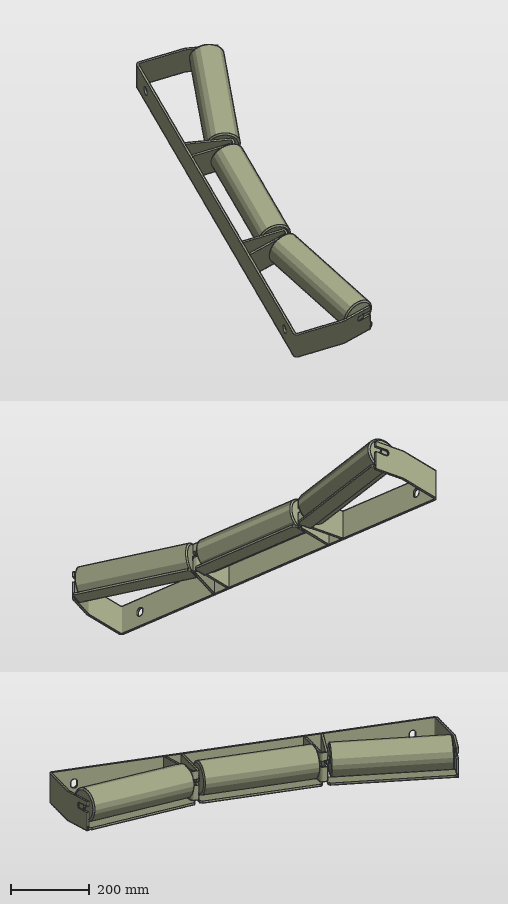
import cadquery as cq
import math


sheet = 6.0
height = 80.0
frame_length = 1050.0
frame_bend_radius = 10.0
bracket_bend_radius = 8.0
bracket_top_y = 125.0
tip_beyond_axis = 30.0

mount_x = 458.0
mount_z = 41.0
mount_width = 18.0
mount_height = 25.0

roller_diameter = 89.0
roller_length = 315.0
roller_chamfer_axial = 3.0
roller_chamfer_radial = 5.0
shaft_diameter = 20.0
shaft_flats = 16.0
plate_distance = 163.0
shaft_half = plate_distance + sheet / 2
tongue_start = plate_distance - 2.0
roller_radius = roller_diameter / 2
shaft_radius = shaft_diameter / 2

guard_top = 47.4
guard_thickness = 6.0
guard_width = 40.5
guard_corner = 6.0

middle_y = 98.0
middle_z = 48.4
wing_x = -347.6
wing_y = 144.2
wing_z = 53.46
wing_angle = 15.0
wing_tilt = 1.55

sine = math.sin(math.radians(wing_angle))
cosine = math.cos(math.radians(wing_angle))
slot_half = plate_distance + 4 * sheet
slot_reach = 100.0


def in_middle(body):
    return body.translate((0, middle_y, middle_z))


def in_wing(body):
    """Place a body, made along X at the origin, at the -X roller."""
    tilted = body.rotate((0, 0, 0), (0, 1, 0), wing_tilt)
    return tilted.rotate((0, 0, 0), (0, 0, 1), -wing_angle).translate((wing_x, wing_y, wing_z))


def mirrored(body):
    return body.mirror("YZ")


def wing_point(along, across):
    """Plan position given along and across the -X roller axis."""
    return (wing_x + along * cosine + across * sine, wing_y - along * sine + across * cosine)


def wing_at_x(along, x):
    """Plan point with the given x on the plate line at a distance along the -X roller axis."""
    start = wing_point(along, 0)
    return (x, start[1] + (x - start[0]) * cosine / sine)


def wing_at_y(along, y):
    """Plan point with the given y on the plate line at a distance along the -X roller axis."""
    start = wing_point(along, 0)
    return (start[0] + (y - start[1]) * sine / cosine, y)


def bent_sheet(points, inner_corners, outer_corners, outer_radius):
    """Extrude a plan outline and round its bends concentrically."""
    body = cq.Workplane("XY").polyline(points).close().extrude(height)
    bends = ((inner_corners, outer_radius - sheet), (outer_corners, outer_radius))
    for corners, radius in bends:
        for x, y in corners:
            picker = cq.selectors.NearestToPointSelector((x, y, height / 2))
            body = body.edges("|Z").edges(picker).fillet(radius)
    return body


def open_round(half_length):
    """Bar along X with a round -Y side of the shaft's radius, open-ended towards +Y."""
    round_side = cq.Workplane("YZ").circle(shaft_radius).extrude(half_length, both=True)
    opening = cq.Workplane("XY").box(
        2 * half_length, slot_reach, shaft_diameter, centered=(True, False, True)
    )
    return round_side.union(opening)


def make_roller():
    """Roller with its shaft; the flat tongue at each shaft end sits in a plate slot."""
    half = roller_length / 2
    shoulder = half - roller_chamfer_axial
    face_radius = roller_radius - roller_chamfer_radial
    profile = [
        (-half, 0), (-half, face_radius), (-shoulder, roller_radius),
        (shoulder, roller_radius), (half, face_radius), (half, 0),
    ]
    drum = cq.Workplane("XZ").polyline(profile).close().revolve(360, (0, 0), (1, 0))
    shaft = cq.Workplane("YZ").circle(shaft_radius).extrude(tongue_start, both=True)
    tongue = (
        cq.Workplane("YZ")
        .rect(shaft_diameter, shaft_flats)
        .extrude(shaft_half, both=True)
        .intersect(open_round(shaft_half))
        .cut(cq.Workplane("XY").box(2 * tongue_start, shaft_diameter, shaft_diameter))
    )
    return drum.union(shaft).union(tongue)


def make_guard():
    """Flat strip under the +Y half of a roller, cropped at its two +Y corners."""
    strip = (
        cq.Workplane("XY")
        .box(2 * shaft_half, guard_width, guard_thickness, centered=(True, False, False))
        .translate((0, 0, -guard_top - guard_thickness))
    )
    return strip.edges("|Z and >Y").chamfer(guard_corner)


def make_slots():
    """Shaft slots at both ends of a roller, round at the bottom and open towards +Y."""
    band = cq.Workplane("XY").box(2 * slot_half, 3 * slot_reach, shaft_flats)
    return open_round(slot_half).intersect(band)


def make_frame():
    end_x = frame_length / 2
    outer_along = -plate_distance - sheet
    outer_bend = wing_at_x(outer_along, -end_x)
    inner_bend = wing_at_x(-plate_distance, -end_x + sheet)
    left_outer = [wing_point(outer_along, tip_beyond_axis), outer_bend, (-end_x, 0)]
    left_inner = [(-end_x + sheet, sheet), inner_bend, wing_point(-plate_distance, tip_beyond_axis)]
    left = left_inner + left_outer
    right = [(-x, y) for x, y in reversed(left)]
    inner_corners = [(-end_x + sheet, sheet), (end_x - sheet, sheet)]
    inner_corners += [inner_bend, (-inner_bend[0], inner_bend[1])]
    outer_corners = [(-end_x, 0), (end_x, 0)]
    outer_corners += [outer_bend, (-outer_bend[0], outer_bend[1])]
    frame = bent_sheet(left + right, inner_corners, outer_corners, frame_bend_radius)
    mounts = (
        cq.Workplane("XZ", origin=(0, sheet, mount_z))
        .pushPoints([(-mount_x, 0), (mount_x, 0)])
        .slot2D(mount_height, mount_width, 90)
        .extrude(sheet)
    )
    return frame.cut(mounts)


def make_bracket():
    """Folded bracket between the -X roller and the middle roller."""
    far = plate_distance + sheet
    under_top = bracket_top_y - sheet
    outer_corners = [wing_at_y(plate_distance, bracket_top_y), (-plate_distance, bracket_top_y)]
    inner_corners = [wing_at_y(far, under_top), (-far, under_top)]
    points = [wing_at_y(plate_distance, sheet)] + outer_corners + [(-plate_distance, sheet)]
    points += [(-far, sheet)] + inner_corners[::-1] + [wing_at_y(far, sheet)]
    return bent_sheet(points, inner_corners, outer_corners, bracket_bend_radius)


roller = make_roller()
guard = make_guard()
slots = make_slots()

middle_roller = in_middle(roller)
left_roller = in_wing(roller)
middle_slots = in_middle(slots)
left_slots = in_wing(slots)

frame = make_frame().cut(left_slots).cut(mirrored(left_slots))
left_bracket = make_bracket().cut(left_slots).cut(middle_slots)

left_guard = in_wing(guard).cut(frame).cut(left_bracket)
middle_guard = in_middle(guard).cut(left_bracket).cut(mirrored(left_bracket))

bodies = [frame, middle_roller, middle_guard]
for left_body in (left_bracket, left_roller, left_guard):
    bodies += [left_body, mirrored(left_body)]

result = cq.Compound.makeCompound([body.solids().val() for body in bodies])